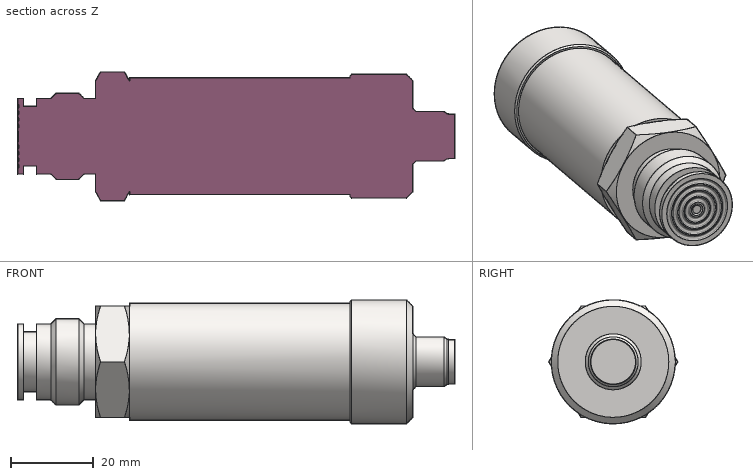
import cadquery as cq
import math


flange_end = 1.5
seal_groove_end = 4.5
collar_start = 8.0
collar_end = 16.0
neck_radius = 9.2
seal_groove_radius = 7.3
collar_radius = 10.5
collar_bevel = collar_radius - neck_radius

hex_start = 18.8
hex_end = 27.0
hex_across_corners = 31.1
hex_face_margin = 0.05
hex_bevel_angle = math.radians(30)
hex_inscribed_radius = hex_across_corners / 2 * math.cos(math.pi / 6)
hex_face_radius = hex_inscribed_radius - hex_face_margin

body_radius = 14.1
cap_start = 80.2
cap_end = 95.4
cap_radius = 15.0
cap_front_bevel = 0.4
cap_rear_bevel = 1.6

plug_radius = 6.0
plug_foot_bevel = 0.7
plug_thread_end = 102.9
plug_shoulder_start = 103.7
plug_shoulder_width = 0.3
plug_shoulder_radius = 5.5
plug_tip_radius = 5.4
total_length = 105.5

ring_count = 4
ring_pitch = 1.6
ring_width = 1.3
ring_floor_width = 0.6
ring_wall_depth = 0.2
ring_depth = 0.3
outer_ring_radius = 7.3
dimple_radius = 1.5
dimple_floor_radius = 1.1
dimple_depth = 0.2


def revolve_about_x(outline):
    """Turn a closed (x, radius) outline a full revolution about the X axis."""
    return outline.close().revolve(360, (0, 0, 0), (1, 0, 0))


def make_turned_body():
    profile = [
        (0, 0),
        (0, neck_radius),
        (flange_end, neck_radius),
        (flange_end, seal_groove_radius),
        (seal_groove_end, seal_groove_radius),
        (seal_groove_end, neck_radius),
        (collar_start, neck_radius),
        (collar_start + collar_bevel, collar_radius),
        (collar_end - collar_bevel, collar_radius),
        (collar_end, neck_radius),
        (hex_end, neck_radius),
        (hex_end, body_radius),
        (cap_start, body_radius),
        (cap_start, cap_radius - cap_front_bevel),
        (cap_start + cap_front_bevel, cap_radius),
        (cap_end - cap_rear_bevel, cap_radius),
        (cap_end, cap_radius - cap_rear_bevel),
        (cap_end, plug_radius + plug_foot_bevel),
        (cap_end + plug_foot_bevel, plug_radius),
        (plug_thread_end, plug_radius),
        (plug_shoulder_start, plug_shoulder_radius),
        (plug_shoulder_start + plug_shoulder_width, plug_shoulder_radius),
        (plug_shoulder_start + plug_shoulder_width, plug_tip_radius),
        (total_length, plug_tip_radius),
        (total_length, 0),
    ]
    return revolve_about_x(cq.Workplane("XY").polyline(profile))


def make_hexagon():
    """Hexagon with corners on +Y and -Y, its corners bevelled at both ends."""
    prism = (
        cq.Workplane("YZ", origin=(hex_start, 0, 0))
        .polygon(6, hex_across_corners)
        .extrude(hex_end - hex_start)
    )
    corner_radius = hex_across_corners / 2
    bevel_length = (corner_radius - hex_face_radius) * math.tan(hex_bevel_angle)
    envelope = [
        (hex_start, 0),
        (hex_start, hex_face_radius),
        (hex_start + bevel_length, corner_radius),
        (hex_end - bevel_length, corner_radius),
        (hex_end, hex_face_radius),
        (hex_end, 0),
    ]
    return prism.intersect(revolve_about_x(cq.Workplane("XY").polyline(envelope)))


def make_diaphragm_ring(radius):
    """Annular groove in the front face with sloping walls and a rounded floor."""
    outline = (
        cq.Workplane("XY")
        .moveTo(0, radius - ring_width / 2)
        .lineTo(ring_wall_depth, radius - ring_floor_width / 2)
        .threePointArc((ring_depth, radius), (ring_wall_depth, radius + ring_floor_width / 2))
        .lineTo(0, radius + ring_width / 2)
    )
    return revolve_about_x(outline)


def make_center_dimple():
    """Shallow conical recess with a flat floor at the diaphragm centre."""
    outline = [
        (0, 0),
        (0, dimple_radius),
        (dimple_depth, dimple_floor_radius),
        (dimple_depth, 0),
    ]
    return revolve_about_x(cq.Workplane("XY").polyline(outline))


result = make_turned_body().union(make_hexagon())
for ring in range(ring_count):
    result = result.cut(make_diaphragm_ring(outer_ring_radius - ring * ring_pitch))
result = result.cut(make_center_dimple())